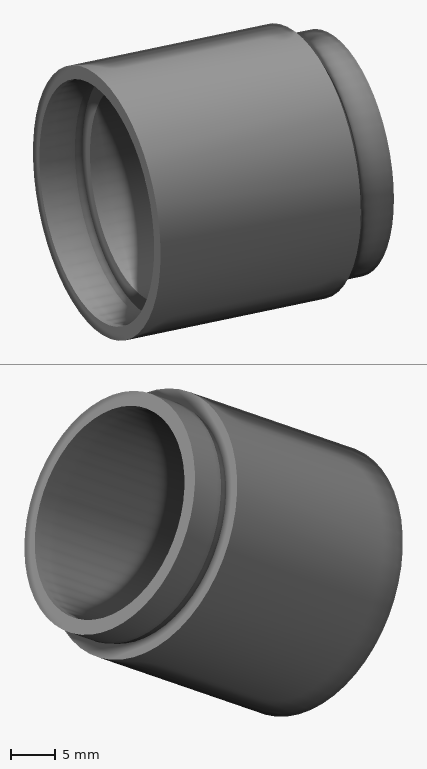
import cadquery as cq

sleeve_diameter = 31.7
total_length = 30.4
bore_diameter = 25.0

spigot_diameter = 28.5
neck_diameter = 28.0
spigot_length = 4.0
neck_length = 1.0

socket_diameter = spigot_diameter
socket_depth = 5.5
groove_diameter = 28.78
groove_width = 1.0

front_y = -total_length / 2
back_y = total_length / 2


def cylinder(diameter, start_y, length):
    """Cylinder on the Y axis running from start_y toward +Y."""
    plane = cq.Plane(origin=(0, start_y, 0), xDir=(1, 0, 0), normal=(0, 1, 0))
    return cq.Workplane(plane).circle(diameter / 2).extrude(length)


sleeve_length = total_length - spigot_length - neck_length
sleeve = cylinder(sleeve_diameter, front_y, sleeve_length)
neck = cylinder(neck_diameter, front_y + sleeve_length, neck_length)
spigot = cylinder(spigot_diameter, back_y - spigot_length, spigot_length)
body = sleeve.union(neck).union(spigot)

bore = cylinder(bore_diameter, front_y, total_length)
socket = cylinder(socket_diameter, front_y, socket_depth)
groove = cylinder(groove_diameter, front_y + socket_depth - groove_width, groove_width)

result = body.cut(bore).cut(socket).cut(groove)